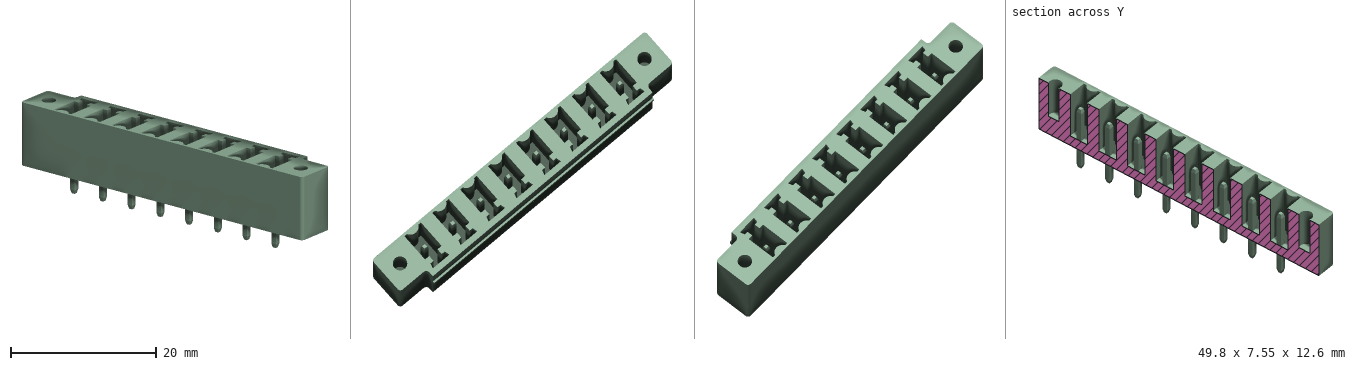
import cadquery as cq


housing_length = 49.75
housing_height = 9.25
body_length = 40.0
body_depth = 7.25
flange_depth = 5.95
outer_corner_radius = 0.5
inner_corner_radius = 0.6

rib_protrusion = 0.3
rib_height = 0.6
rib_top_below_rim = 3.0

contact_count = 8
contact_pitch = 5.1
contact_y = 2.95

chamber_depth = 7.45
chamber_width = 3.0
chamber_front_y = 0.4
shoulder_y = 4.8
neck_width = 1.5
dovetail_front_y = 5.65
dovetail_front_width = 2.6
chamber_back_y = 6.4
bump_width = 2.05
bump_height = 0.65

pin_width = 0.8
pin_tip_width = 0.5
pin_taper_length = 0.6
pin_projection = 3.35
pin_top_below_rim = 2.0

screw_hole_diameter = 2.0
screw_hole_spacing = 44.5
screw_hole_y = contact_y
screw_hole_depth = 5.95


def make_housing():
    """Block with a thinner flange at each end and rounded vertical corners."""
    corner_margin = outer_corner_radius / 2
    flanges = cq.Workplane("XY").box(
        housing_length, flange_depth, housing_height, centered=(True, False, False)
    )
    body = cq.Workplane("XY").box(
        body_length, body_depth, housing_height, centered=(True, False, False)
    )
    housing = flanges.edges("|Z").fillet(outer_corner_radius).union(body)
    inner_corners = cq.selectors.BoxSelector(
        (-body_length / 2 - corner_margin, flange_depth - corner_margin, 0),
        (body_length / 2 + corner_margin, flange_depth + corner_margin, housing_height),
    )
    return housing.edges("|Z").edges(inner_corners).fillet(inner_corner_radius)


def make_rib():
    """Keying rib, rooted inside the back wall."""
    root_y = (chamber_back_y + body_depth) / 2
    return (
        cq.Workplane("XY")
        .box(
            body_length,
            body_depth + rib_protrusion - root_y,
            rib_height,
            centered=(True, False, False),
        )
        .translate((0, root_y, housing_height - rib_top_below_rim - rib_height))
    )


def make_chamber():
    """Chamber with a bump in its front wall and a dovetail slot behind a neck."""
    half_width = chamber_width / 2
    half_neck = neck_width / 2
    half_dovetail = dovetail_front_width / 2
    half_bump = bump_width / 2
    return (
        cq.Workplane("XY")
        .workplane(offset=housing_height - chamber_depth)
        .moveTo(half_bump, chamber_front_y)
        .lineTo(half_width, chamber_front_y)
        .lineTo(half_width, shoulder_y)
        .lineTo(half_neck, shoulder_y)
        .lineTo(half_neck, dovetail_front_y)
        .lineTo(half_dovetail, dovetail_front_y)
        .lineTo(half_width, chamber_back_y)
        .lineTo(-half_width, chamber_back_y)
        .lineTo(-half_dovetail, dovetail_front_y)
        .lineTo(-half_neck, dovetail_front_y)
        .lineTo(-half_neck, shoulder_y)
        .lineTo(-half_width, shoulder_y)
        .lineTo(-half_width, chamber_front_y)
        .lineTo(-half_bump, chamber_front_y)
        .threePointArc((0, chamber_front_y + bump_height), (half_bump, chamber_front_y))
        .close()
        .extrude(chamber_depth)
    )


def make_pin():
    """Square pin tapered at both ends."""
    pin_length = pin_projection + housing_height - pin_top_below_rim
    tip_inset = (pin_width - pin_tip_width) / 2
    return (
        cq.Workplane("XY")
        .box(pin_width, pin_width, pin_length, centered=(True, True, False))
        .faces("<Z or >Z")
        .chamfer(pin_taper_length, tip_inset)
        .translate((0, contact_y, -pin_projection))
    )


result = make_housing().union(make_rib())

chamber = make_chamber()
pin = make_pin()
for index in range(contact_count):
    contact_x = (index - (contact_count - 1) / 2) * contact_pitch
    result = result.cut(chamber.translate((contact_x, 0, 0)))
    result = result.union(pin.translate((contact_x, 0, 0)))

screw_holes = (
    cq.Workplane("XY")
    .workplane(offset=housing_height - screw_hole_depth)
    .pushPoints([(side * screw_hole_spacing / 2, screw_hole_y) for side in (-1, 1)])
    .circle(screw_hole_diameter / 2)
    .extrude(screw_hole_depth)
)
result = result.cut(screw_holes)